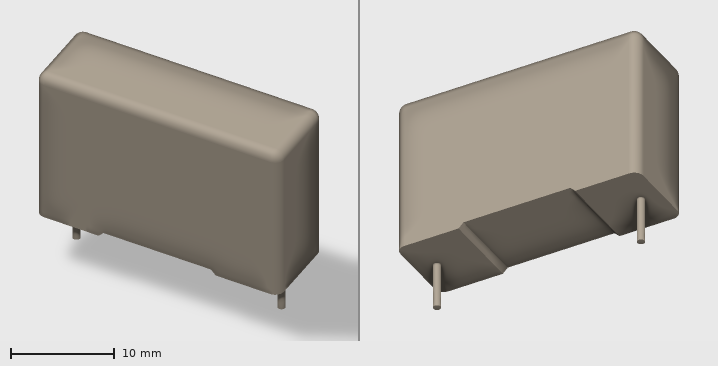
import cadquery as cq

total_height = 22.1
body_length = 26.8
body_width = 8.7
lead_length = 4.98
body_height = total_height - lead_length
edge_radius = 1.0

relief_depth = 0.54
relief_bottom_width = 12.86
relief_top_width = relief_bottom_width - 2 * relief_depth

lead_diameter = 0.8
lead_pitch = 22.5
lead_embed = 1.35


def make_body():
    """Box with rounded upright and top edges and a sharp bottom rim."""
    box = cq.Workplane("XY").box(
        body_length, body_width, body_height, centered=(True, True, False)
    )
    return box.edges("|Z or >Z").fillet(edge_radius)


def make_relief():
    """Trapezoidal channel running through the full body width."""
    outline = [
        (-relief_bottom_width / 2, 0),
        (-relief_top_width / 2, relief_depth),
        (relief_top_width / 2, relief_depth),
        (relief_bottom_width / 2, 0),
    ]
    return cq.Workplane("XZ").polyline(outline).close().extrude(body_width / 2, both=True)


def make_leads():
    """Pair of round leads hanging below the body."""
    return (
        cq.Workplane("XY", origin=(0, 0, -lead_length))
        .pushPoints([(-lead_pitch / 2, 0), (lead_pitch / 2, 0)])
        .circle(lead_diameter / 2)
        .extrude(lead_length + lead_embed)
    )


result = make_body().cut(make_relief()).union(make_leads())